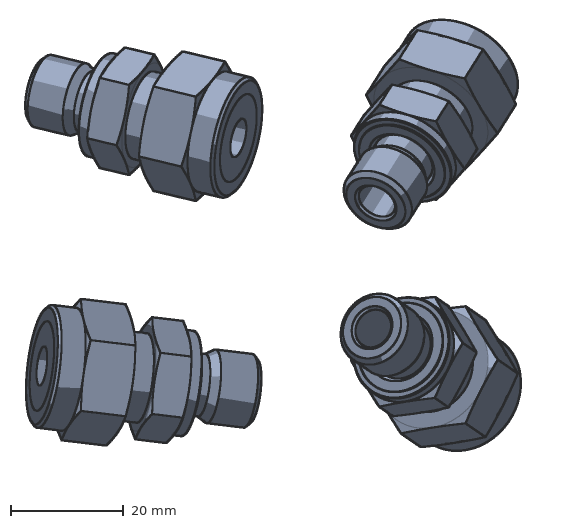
import cadquery as cq
import math


total_length = 38.9

spigot_radius = 6.6
spigot_chamfer = 0.9
spigot_length = 7.7
neck_start = 9.4
neck_radius = 5.6

seal_start = 11.67
seal_radius = 8.3
recess_depth = 0.75
collar_start = 12.0
collar_radius = 9.45
collar_chamfer = 0.15

body_hex_start = 14.0
body_hex_end = 20.5
body_hex_flats = 19.02
shank_radius = 8.0

bore_radius = 3.5
bore_chamfer = 0.5

nut_start = 24.78
nut_hex_end = 33.92
nut_flats = 22.0
nut_chamfer = 0.55

hex_corner_angle = math.radians(15)


def revolve_about_x(points):
    """Solid of revolution about the X axis from (x, radius) points."""
    return cq.Workplane("XY").polyline(points).close().revolve(360, (0, 0, 0), (1, 0, 0))


def cylinder_along_x(start, end, radius):
    return cq.Workplane("YZ").workplane(offset=start).circle(radius).extrude(end - start)


def chamfered_hexagon(start, end, across_flats):
    """Hexagon with flats facing +Z and -Z and conical corners at both ends."""
    flat_radius = across_flats / 2
    corner_radius = flat_radius / math.cos(math.pi / 6)
    corner_setback = (corner_radius - flat_radius) * math.tan(hex_corner_angle)
    prism = (
        cq.Workplane("YZ")
        .workplane(offset=start)
        .polygon(6, 2 * corner_radius)
        .extrude(end - start)
    )
    turned_envelope = revolve_about_x([
        (start, 0),
        (start, flat_radius),
        (start + corner_setback, corner_radius),
        (end - corner_setback, corner_radius),
        (end, flat_radius),
        (end, 0),
    ])
    return prism.intersect(turned_envelope)


def make_fitting_body():
    """Spigot, recessed sealing face, collar, hexagon and shank, bored right through."""
    recess_bottom = seal_start + recess_depth
    recess_radius = neck_radius + recess_depth
    turned_profile = [
        (0, 0),
        (0, spigot_radius - spigot_chamfer),
        (spigot_chamfer, spigot_radius),
        (spigot_length, spigot_radius),
        (neck_start, neck_radius),
        (recess_bottom, neck_radius),
        (seal_start, recess_radius),
        (seal_start, seal_radius),
        (collar_start, seal_radius),
        (collar_start, collar_radius - collar_chamfer),
        (collar_start + collar_chamfer, collar_radius),
        (body_hex_start, collar_radius),
        (body_hex_start, shank_radius),
        (total_length, shank_radius),
        (total_length, 0),
    ]
    hexagon = chamfered_hexagon(body_hex_start, body_hex_end, body_hex_flats)
    bore = revolve_about_x([
        (0, 0),
        (0, bore_radius + bore_chamfer),
        (bore_chamfer, bore_radius),
        (total_length, bore_radius),
        (total_length, 0),
    ])
    return revolve_about_x(turned_profile).union(hexagon).cut(bore)


def make_union_nut():
    """Hexagon nut with a round rear collar, fitted over the shank."""
    rear_collar_radius = nut_flats / 2
    hexagon = chamfered_hexagon(nut_start, nut_hex_end, nut_flats)
    rear_collar = (
        cylinder_along_x(nut_hex_end, total_length, rear_collar_radius)
        .faces(">X")
        .chamfer(nut_chamfer)
    )
    shank_hole = cylinder_along_x(nut_start, total_length, shank_radius)
    return hexagon.union(rear_collar).cut(shank_hole)


fitting_body = make_fitting_body()
union_nut = make_union_nut()

result = cq.Compound.makeCompound([fitting_body.solids().val(), union_nut.solids().val()])